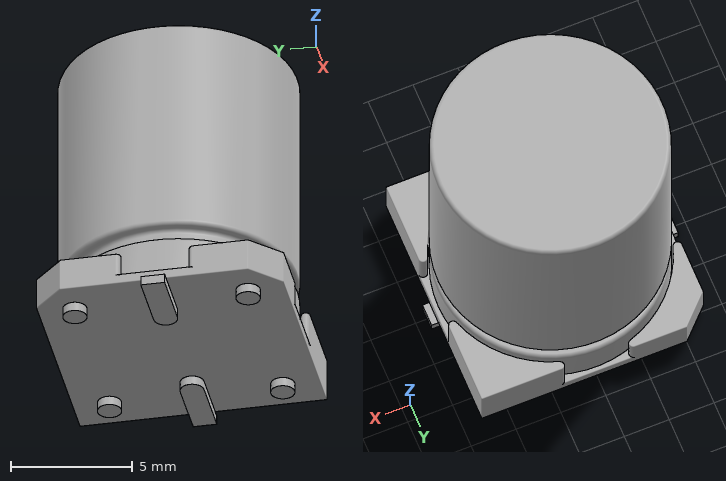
import cadquery as cq

base_side = 10.4
corner_cut = 1.25
standoff = 0.4
floor_z = 0.85
low_post_z = 1.86
high_post_z = 2.35
post_hollow_radius = 5.07
post_round = 0.2
edge_round = 0.05

can_radius = 10.0 / 2
neck_radius = 9.0 / 2
can_top_z = 13.0
bend_radius = 0.2
groove_z = 2.87
neck_height = 0.26

lead_span = 11.0
lead_width = 1.0
lead_length = 3.2
foot_diameter = 1.0
foot_offset = 3.64

half_side = base_side / 2
root_z = (standoff + floor_z) / 2


def base_block(bottom_z, top_z):
    """Prism with the base outline and softened vertical corners."""
    bottom = cq.Workplane("XY").workplane(offset=bottom_z)
    block = bottom.rect(base_side, base_side).extrude(top_z - bottom_z)
    block = block.edges("|Z and <X").chamfer(corner_cut)
    return block.edges("|Z").fillet(edge_round)


def base_plate():
    return base_block(standoff, floor_z).faces("<Z or >Z").edges().fillet(edge_round)


def corner_post(x_sign, y_sign, top_z):
    """One post: a corner of the base outline, hollowed around the can, with fully rounded ends."""
    round_out = half_side - post_round
    center_reach = post_hollow_radius + post_round
    round_in = (center_reach**2 - round_out**2) ** 0.5
    hollow_share = post_hollow_radius / center_reach
    hollow_middle = post_hollow_radius / 2**0.5

    def corner(x, y):
        return x_sign * x, y_sign * y

    footprint = (
        cq.Workplane("XY")
        .workplane(offset=root_z)
        .moveTo(*corner(half_side, half_side))
        .lineTo(*corner(round_in, half_side))
        .threePointArc(
            corner(round_in - post_round, round_out),
            corner(round_in * hollow_share, round_out * hollow_share),
        )
        .threePointArc(
            corner(hollow_middle, hollow_middle),
            corner(round_out * hollow_share, round_in * hollow_share),
        )
        .threePointArc(corner(round_out, round_in - post_round), corner(half_side, round_in))
        .close()
    )
    post = footprint.extrude(top_z - root_z).intersect(base_block(root_z, top_z))
    return post.faces(">Z").edges().fillet(edge_round)


def can():
    """Solid of revolution: rounded top, crimped groove and straight lower wall."""
    upper_bend_z = groove_z + neck_height / 2
    lower_bend_z = groove_z - neck_height / 2
    upper_lip_z = upper_bend_z + bend_radius
    lower_lip_z = lower_bend_z - bend_radius
    rim_radius = can_radius - bend_radius
    bend_end_radius = neck_radius + bend_radius
    profile = (
        cq.Workplane("XZ")
        .moveTo(0, root_z)
        .lineTo(can_radius, root_z)
        .lineTo(can_radius, lower_lip_z - bend_radius)
        .radiusArc((rim_radius, lower_lip_z), -bend_radius)
        .lineTo(bend_end_radius, lower_lip_z)
        .radiusArc((neck_radius, lower_bend_z), bend_radius)
        .lineTo(neck_radius, upper_bend_z)
        .radiusArc((bend_end_radius, upper_lip_z), bend_radius)
        .lineTo(rim_radius, upper_lip_z)
        .radiusArc((can_radius, upper_lip_z + bend_radius), -bend_radius)
        .lineTo(can_radius, can_top_z - bend_radius)
        .radiusArc((rim_radius, can_top_z), -bend_radius)
        .lineTo(0, can_top_z)
        .close()
    )
    return profile.revolve(360, (0, 0, 0), (0, 1, 0))


def lead(x_sign):
    """Flat lead with a half-round inner end."""
    outer_x = x_sign * lead_span / 2
    round_x = x_sign * (lead_span / 2 - lead_length + lead_width / 2)
    inner_x = x_sign * (lead_span / 2 - lead_length)
    half_width = lead_width / 2
    return (
        cq.Workplane("XY")
        .moveTo(outer_x, -half_width)
        .lineTo(round_x, -half_width)
        .threePointArc((inner_x, 0), (round_x, half_width))
        .lineTo(outer_x, half_width)
        .close()
        .extrude(standoff)
    )


def feet():
    spacing = 2 * foot_offset
    return cq.Workplane("XY").rarray(spacing, spacing, 2, 2).circle(foot_diameter / 2).extrude(standoff)


result = base_plate().union(can())
for x_sign, post_top_z in ((-1, low_post_z), (1, high_post_z)):
    for y_sign in (-1, 1):
        result = result.union(corner_post(x_sign, y_sign, post_top_z))
    result = result.union(lead(x_sign))
result = result.union(feet())